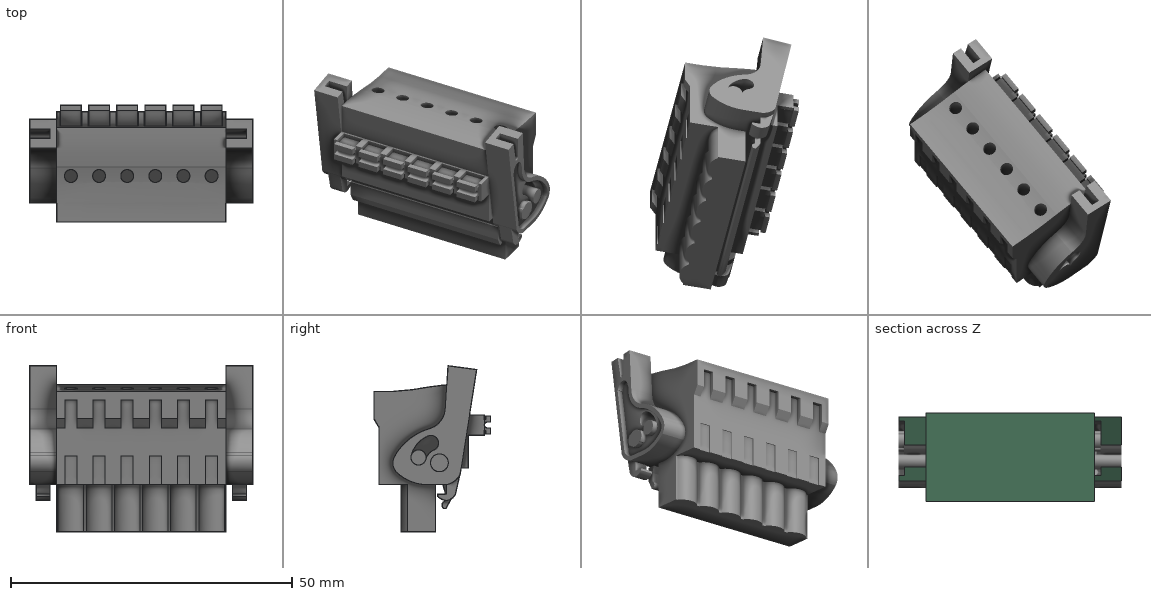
import cadquery as cq
import math


pole_count = 6
pole_pitch = 5.0
pole_places = [(i - (pole_count - 1) / 2) * pole_pitch for i in range(pole_count)]

housing_width = 30.1
side_x = housing_width / 2
front_overhang = 0.93
overhang_bottom_z = 10.1
overhang_full_z = 11.72
front_top_z = 16.55
ridge_y, ridge_z = 8.89, 17.37
back_y = 15.87
back_top_z = 17.82
hollow_mid = (4.4, 16.71)
crown_mid = (12.2, 17.75)
skirt_back_y = 12.45
skirt_step_z = 2.95

block_back_y = 18.72
block_bottom_z, block_top_z = 8.75, 12.39
contact_slot_width = 3.86
contact_front_y = 16.21

notch_width = 2.12
upper_notch_top_z = 15.03
lower_notch_top_z = 5.07
lower_notch_depth = 0.2
screw_hole_diameter = 2.28
screw_hole_y = 7.28
screw_hole_bottom_z = 12.0

plug_bottom_z = -8.38
plug_back_y = 10.07
plug_front_y = 5.06
lobe_front_y = 3.87
lobe_width = 4.54

rib_front_y, rib_neck_y, rib_back_y = 11.33, 11.72, 12.76
rib_neck_z = -1.28
rib_tip_z = -4.27
rib_neck_bottom_z = -2.92
rib_tip_bulge = (11.2, -3.55)
rib_tip_front_y, rib_tip_back_y = 11.53, 11.9
rib_slope_top_z = -2.67

contact_width = 3.72
contact_mid_z = 10.6
contact_back_y = 19.86
jaw_front_y = 18.95
jaw_half_height = 1.62
web_half_height = 1.0
mouth_half_height = 0.5
mouth_start_y = 19.2
mouth_end_y = 18.75

lever_thickness = 4.8
lever_places = [-side_x - lever_thickness, side_x]
rim_width = 0.8
pocket_depth = 1.0
pocket_round_y, pocket_round_z, pocket_round_radius = 14.12, 14.5, 1.36
grip_slot_depth = 3.65
hook_offset = 1.16
hook_width = 2.5

grip_back_top = (17.38, 20.46)
grip_front_top = (12.25, 21.14)
grip_front_foot = (11.77, 13.48)
cam_start = (8.67, 9.86)
cam_crest = (5.57, 8.24)
cam_flat_top = (3.18, 5.73)
cam_flat_bottom = (2.90, 5.2)
cam_nose = (2.47, 3.90)
cam_nose_bottom = (2.97, 2.35)
cam_belly = (5.45, 0.64)
foot_front = (8.47, 0)
foot_back = (12.06, 0)
heel_mid = (13.53, 0.70)
heel_top = (14.45, 1.86)

grip_slot_open_z = 21.5
grip_slot_round_z = 17.3
grip_slot_bottom = (14.43, 16.64)
grip_slot_top_back_y, grip_slot_top_front_y = 15.78, 14.04
grip_slot_low_back_y, grip_slot_low_front_y = 14.88, 13.97

hook_root_z = 2.55
hook_root_back_y = 14.56
hook_heel = (13.62, -1.65)
hook_web_front_y = 12.01
hook_heel_mid = (12.9, -2.5)
hook_bottom = (11.97, -2.82)
hook_lip_mid = (11.1, -2.6)
hook_lip_front_y = 10.43
hook_lip_bottom_z, hook_lip_top_z = -2.08, -1.69

pivot_y, pivot_z = 10.74, 3.87
pivot_radius = 1.58
pivot_ear_radius = 1.81
pivot_ear_half_height = 1.06
stop_radius = 1.35
stop_y, stop_z = 7.03, 4.83
slot_end_y, slot_end_z = 9.23, 7.38


def side_profile(x_start):
    """Workplane at x_start whose local axes are Y and Z; extrusions run toward +X."""
    return cq.Workplane("YZ", origin=(x_start, 0, 0))


def box_between(x_range, y_range, z_range):
    """Box that fills the given X, Y and Z ranges."""
    size = [high - low for low, high in (x_range, y_range, z_range)]
    corner = (x_range[0], y_range[0], z_range[0])
    return cq.Workplane("XY").box(*size, centered=False).translate(corner)


def pole_box(x, width, y_range, z_range):
    """Box of the given width centred on one pole."""
    return box_between((x - width / 2, x + width / 2), y_range, z_range)


def rod(x_start, length, y, z, radius):
    """Round bar along X."""
    return side_profile(x_start).center(y, z).circle(radius).extrude(length)



def housing_shell():
    """Main block: hollow-curved top in front, crowned top behind, stepped underside."""
    return (
        side_profile(-side_x)
        .moveTo(0, 0)
        .lineTo(0, overhang_bottom_z)
        .lineTo(-front_overhang, overhang_full_z)
        .lineTo(-front_overhang, front_top_z)
        .threePointArc(hollow_mid, (ridge_y, ridge_z))
        .threePointArc(crown_mid, (back_y, back_top_z))
        .lineTo(back_y, skirt_step_z)
        .lineTo(skirt_back_y, skirt_step_z)
        .lineTo(skirt_back_y, 0)
        .close()
        .extrude(housing_width)
    )


def plug():
    """Plug block with one bulged lobe per pole on its front."""
    body = box_between((-side_x, side_x), (plug_front_y, plug_back_y), (plug_bottom_z, 0))
    for x in pole_places:
        lobe = (
            cq.Workplane("XY", origin=(x, 0, plug_bottom_z))
            .moveTo(-lobe_width / 2, plug_front_y)
            .threePointArc((0, lobe_front_y), (lobe_width / 2, plug_front_y))
            .close()
            .extrude(-plug_bottom_z)
        )
        body = body.union(lobe)
    return body


def latch_rib():
    """Rib under the housing with a necked, rounded tip."""
    return (
        side_profile(-side_x)
        .moveTo(rib_front_y, 0)
        .lineTo(rib_neck_y, rib_neck_z)
        .lineTo(rib_neck_y, rib_neck_bottom_z)
        .threePointArc(rib_tip_bulge, (rib_tip_front_y, rib_tip_z))
        .lineTo(rib_tip_back_y, rib_tip_z)
        .lineTo(rib_back_y, rib_slope_top_z)
        .lineTo(rib_back_y, 0)
        .close()
        .extrude(housing_width)
    )


def pivot_pin(x_start):
    """Lever pivot: round shaft with an eared head that fills the lever pocket depth."""
    shaft = rod(x_start, lever_thickness, pivot_y, pivot_z, pivot_radius)
    ears = rod(x_start, pocket_depth, pivot_y, pivot_z, pivot_ear_radius)
    ear_band = box_between(
        (x_start, x_start + pocket_depth),
        (pivot_y - pivot_ear_radius, pivot_y + pivot_ear_radius),
        (pivot_z - pivot_ear_half_height, pivot_z + pivot_ear_half_height),
    )
    return shaft.union(ears.intersect(ear_band))


def stop_pin(x_start):
    """Pin that limits the lever's swing."""
    return rod(x_start, lever_thickness, stop_y, stop_z, stop_radius)


def make_housing():
    body = housing_shell().union(plug()).union(latch_rib())
    body = body.union(
        box_between((-side_x, side_x), (back_y, block_back_y), (block_bottom_z, block_top_z))
    )
    for x in pole_places:
        contact_slot = pole_box(
            x, contact_slot_width, (contact_front_y, block_back_y), (block_bottom_z, block_top_z)
        )
        upper_notch = pole_box(
            x, notch_width, (-front_overhang, 0), (overhang_bottom_z, upper_notch_top_z)
        )
        lower_notch = pole_box(x, notch_width, (0, lower_notch_depth), (0, lower_notch_top_z))
        screw_hole = (
            cq.Workplane("XY", origin=(x, screw_hole_y, screw_hole_bottom_z))
            .circle(screw_hole_diameter / 2)
            .extrude(back_top_z - screw_hole_bottom_z)
        )
        for cutter in (contact_slot, upper_notch, lower_notch, screw_hole):
            body = body.cut(cutter)
    for x in lever_places:
        body = body.union(pivot_pin(x)).union(stop_pin(x))
    return body



def make_contact(x):
    """Fork contact: flat stem that opens into two jaws with a rounded mouth between them."""
    return (
        side_profile(x - contact_width / 2)
        .center(0, contact_mid_z)
        .moveTo(contact_front_y, -web_half_height)
        .lineTo(jaw_front_y, -web_half_height)
        .lineTo(jaw_front_y, -jaw_half_height)
        .lineTo(contact_back_y, -jaw_half_height)
        .lineTo(contact_back_y, -mouth_half_height)
        .lineTo(mouth_start_y, -mouth_half_height)
        .threePointArc((mouth_end_y, 0), (mouth_start_y, mouth_half_height))
        .lineTo(contact_back_y, mouth_half_height)
        .lineTo(contact_back_y, jaw_half_height)
        .lineTo(jaw_front_y, jaw_half_height)
        .lineTo(jaw_front_y, web_half_height)
        .lineTo(contact_front_y, web_half_height)
        .close()
        .extrude(contact_width)
    )



def lever_outline(x_start):
    """Closed lever contour: straight grip that swells into a rounded cam."""
    return (
        side_profile(x_start)
        .moveTo(*grip_back_top)
        .lineTo(*grip_front_top)
        .lineTo(*grip_front_foot)
        .tangentArcPoint(cam_start, relative=False)
        .threePointArc(cam_crest, cam_flat_top)
        .lineTo(*cam_flat_bottom)
        .threePointArc(cam_nose, cam_nose_bottom)
        .threePointArc(cam_belly, foot_front)
        .lineTo(*foot_back)
        .threePointArc(heel_mid, heel_top)
        .close()
    )


def lever_pocket(x_start):
    """Shallow recess inside the rim, closed by a round end below the grip."""
    inner = lever_outline(x_start).offset2D(-rim_width).extrude(pocket_depth)
    grip_region = box_between(
        (x_start, x_start + pocket_depth),
        (grip_front_foot[0], grip_back_top[0]),
        (pocket_round_z, grip_front_top[1]),
    )
    round_end = rod(x_start, pocket_depth, pocket_round_y, pocket_round_z, pocket_round_radius)
    return inner.cut(grip_region).union(round_end)


def stop_slot(x_start):
    """Curved slot about the pivot in which the stop pin travels."""
    sweep_radius = math.hypot(stop_y - pivot_y, stop_z - pivot_z)
    start_angle = math.atan2(stop_z - pivot_z, stop_y - pivot_y)
    end_angle = math.atan2(slot_end_z - pivot_z, slot_end_y - pivot_y)

    def at(radius, angle):
        return (pivot_y + radius * math.cos(angle), pivot_z + radius * math.sin(angle))

    mid_angle = (start_angle + end_angle) / 2
    inner = sweep_radius - stop_radius
    outer = sweep_radius + stop_radius
    channel = (
        side_profile(x_start)
        .moveTo(*at(inner, start_angle))
        .threePointArc(at(inner, mid_angle), at(inner, end_angle))
        .lineTo(*at(outer, end_angle))
        .threePointArc(at(outer, mid_angle), at(outer, start_angle))
        .close()
        .extrude(lever_thickness)
    )
    for angle in (start_angle, end_angle):
        channel = channel.union(rod(x_start, lever_thickness, *at(sweep_radius, angle), stop_radius))
    return channel


def grip_slot(x_start):
    """Tapered, round-bottomed slot that opens at the top of the grip."""
    return (
        side_profile(x_start)
        .moveTo(grip_slot_top_back_y, grip_slot_open_z)
        .lineTo(grip_slot_low_back_y, grip_slot_round_z)
        .threePointArc(grip_slot_bottom, (grip_slot_low_front_y, grip_slot_round_z))
        .lineTo(grip_slot_top_front_y, grip_slot_open_z)
        .close()
        .extrude(grip_slot_depth)
    )


def hook(x_start):
    """Ejector hook below the cam, with a forward lip."""
    return (
        side_profile(x_start + hook_offset)
        .moveTo(hook_root_back_y, hook_root_z)
        .lineTo(*hook_heel)
        .threePointArc(hook_heel_mid, hook_bottom)
        .threePointArc(hook_lip_mid, (hook_lip_front_y, hook_lip_bottom_z))
        .lineTo(hook_lip_front_y, hook_lip_top_z)
        .lineTo(hook_web_front_y, hook_lip_top_z)
        .lineTo(hook_web_front_y, hook_root_z)
        .close()
        .extrude(hook_width)
    )


def make_lever(x_start):
    body = lever_outline(x_start).extrude(lever_thickness).union(hook(x_start))
    body = body.cut(lever_pocket(x_start)).cut(grip_slot(x_start)).cut(stop_slot(x_start))
    return body.cut(pivot_pin(x_start))


housing = make_housing()
contacts = [make_contact(x) for x in pole_places]
levers = [make_lever(x) for x in lever_places]

result = cq.Compound.makeCompound(
    [housing.val()] + [contact.val() for contact in contacts] + [lever.val() for lever in levers]
)